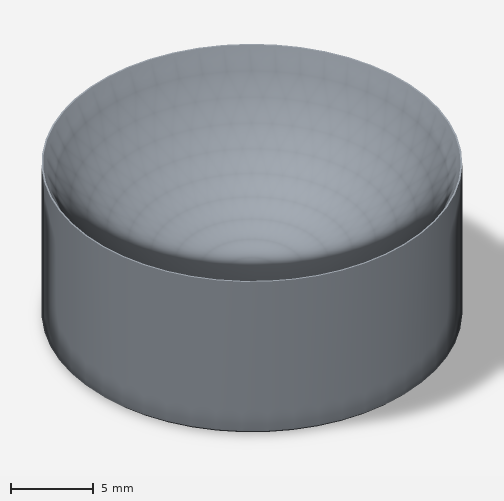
import cadquery as cq
import math

diameter = 25.4
height = 11.18
base_chamfer = 0.25
rim_width = 0.1
sphere_radius = 13.85

bowl_radius = diameter / 2 - rim_width
centre_rise = math.sqrt(sphere_radius**2 - bowl_radius**2)


def make_block():
    """Cylinder with a small chamfer around its base."""
    block = cq.Workplane("XY").circle(diameter / 2).extrude(height)
    return block.faces("<Z").edges().chamfer(base_chamfer)


def make_bowl_cutter():
    """Sphere that hollows the top face."""
    return cq.Workplane("XY").sphere(sphere_radius).translate((0, 0, height + centre_rise))


result = make_block().cut(make_bowl_cutter())